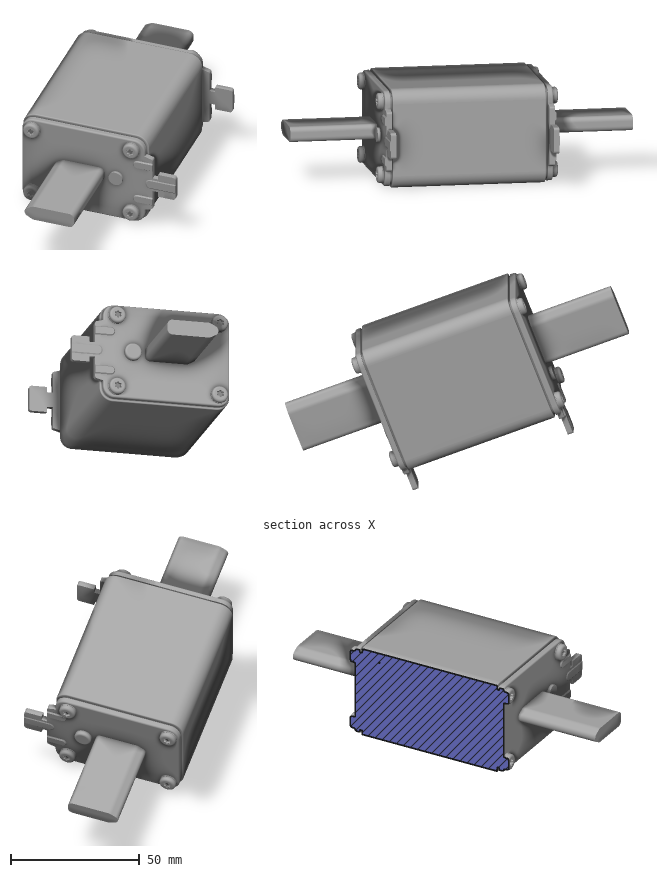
import cadquery as cq
import math

OVERALL_WIDTH = 64.0

BODY_WIDTH = 52.0
BODY_HEIGHT = 39.0
BODY_LENGTH = 60.5
BODY_CORNER_RADIUS = 5.3
BODY_EDGE_FILLET = 0.4

GASKET_INSET = 1.5
GASKET_THICKNESS = 0.8
PLATE_INSET = 0.7
PLATE_THICKNESS = 2.2
PLATE_EDGE_FILLET = 0.7
PLATE_INNER_Y = BODY_LENGTH / 2 + GASKET_THICKNESS
PLATE_OUTER_Y = PLATE_INNER_Y + PLATE_THICKNESS

BLADE_END_Y = 67.5
BLADE_THICKNESS = 6.1
BLADE_LEFT = -11.7
BLADE_RIGHT = 8.6
BLADE_CORNER_RADIUS = 2.0
NOSE_RADIUS = 2.0
NOSE_SLOPE = math.radians(28)
SHOULDER_RADIUS = 2.7

SCREW_CENTRE_X = -0.5
SCREW_SPACING_X = 41.0
SCREW_SPACING_Z = 29.0
WASHER_RADIUS = 3.4
WASHER_THICKNESS = 0.4
SCREW_HEAD_RADIUS = 3.2
SCREW_HEAD_HEIGHT = 1.9
SCREW_HEAD_FILLET = 1.0
SOCKET_CORE_RADIUS = 1.1
SOCKET_LOBES = 6
SOCKET_LOBE_RADIUS = 0.4
SOCKET_DEPTH = 1.2

TAB_ROOT_X = 23.0
TAB_ROOT_HALF_HEIGHT = 13.0
TAB_EDGE_X = 28.6
TAB_EDGE_HALF_HEIGHT = 11.5
TAB_CORNER_RADIUS = 0.8
TONGUE_NECK_HALF_HEIGHT = 3.0
TONGUE_HEAD_X = 30.9
TONGUE_HALF_HEIGHT = 5.1
TONGUE_END_X = OVERALL_WIDTH - BODY_WIDTH / 2
TONGUE_CORNER_RADIUS = 1.1

BEAD_DRAFT = 0.4
SIDE_BEAD_START_X = 20.7
SIDE_BEAD_HALF_WIDTH = 1.8
SIDE_BEAD_HEIGHT = 0.5
SIDE_BEAD_Z = 8.0
CENTRE_BEAD_START_X = 25.6
CENTRE_BEAD_HALF_WIDTH = 2.0
CENTRE_BEAD_HEIGHT = 0.3

PIN_X = 13.6
FRONT_PIN_RADIUS = 2.8
FRONT_PIN_HEIGHT = 1.2
REAR_PIN_RADIUS = 3.4
REAR_PIN_HEIGHT = 2.0
REAR_PIN_FILLET = 0.8


def end_plane(y):
    """Sketch plane at distance y from the origin: sketched in X and Z, extruding towards -Y."""
    return cq.Workplane("XZ", origin=(0, -y, 0))


def rounded_slab(inset, start_y, thickness):
    """Slab with the body outline shrunk by the inset, growing towards the front end."""
    slab = end_plane(start_y).rect(BODY_WIDTH - 2 * inset, BODY_HEIGHT - 2 * inset).extrude(thickness)
    return slab.edges("|Y").fillet(BODY_CORNER_RADIUS - inset)


def make_body():
    body = rounded_slab(0, -BODY_LENGTH / 2, BODY_LENGTH)
    return body.faces("<Y or >Y").edges().fillet(BODY_EDGE_FILLET)


def make_plate():
    plate = rounded_slab(PLATE_INSET, PLATE_INNER_Y, PLATE_THICKNESS)
    return plate.faces("<Y").edges().fillet(PLATE_EDGE_FILLET)


def round_right_corners(sheet, radius):
    return sheet.faces(">X").edges("|Y").fillet(radius)


def lug_rectangle(left_x, right_x, half_height):
    centre_x = (left_x + right_x) / 2
    sketch = end_plane(PLATE_INNER_Y).center(centre_x, 0)
    return sketch.rect(right_x - left_x, 2 * half_height).extrude(PLATE_THICKNESS)


def make_lug():
    tab_outline = [
        (TAB_ROOT_X, TAB_ROOT_HALF_HEIGHT),
        (TAB_EDGE_X, TAB_EDGE_HALF_HEIGHT),
        (TAB_EDGE_X, -TAB_EDGE_HALF_HEIGHT),
        (TAB_ROOT_X, -TAB_ROOT_HALF_HEIGHT),
    ]
    tab = end_plane(PLATE_INNER_Y).polyline(tab_outline).close().extrude(PLATE_THICKNESS)
    neck = lug_rectangle(TAB_ROOT_X, TONGUE_HEAD_X, TONGUE_NECK_HALF_HEIGHT)
    head = lug_rectangle(TONGUE_HEAD_X, TONGUE_END_X, TONGUE_HALF_HEIGHT)
    tab = round_right_corners(tab, TAB_CORNER_RADIUS)
    head = round_right_corners(head, TONGUE_CORNER_RADIUS)
    return tab.union(neck).union(head)


def make_bead(start_x, end_x, centre_z, half_width, height):
    """Raised bead running from its rounded left end to a square cut at end_x."""
    slot_length = 2 * (end_x - start_x)
    draft_angle = math.degrees(math.atan(BEAD_DRAFT / height))
    slot = (
        end_plane(PLATE_OUTER_Y)
        .center(end_x, centre_z)
        .slot2D(slot_length, 2 * half_width)
        .extrude(height, taper=draft_angle)
    )
    left_half = (
        end_plane(PLATE_OUTER_Y)
        .center(end_x - slot_length / 4, centre_z)
        .rect(slot_length / 2, 2 * half_width)
        .extrude(height)
    )
    return slot.intersect(left_half)


def make_blade():
    half_thickness = BLADE_THICKNESS / 2
    apex_x = BLADE_LEFT - NOSE_RADIUS * (1 / math.sin(NOSE_SLOPE) - 1)
    shoulder_x = apex_x + half_thickness / math.tan(NOSE_SLOPE)
    outline = [
        (apex_x, 0),
        (shoulder_x, half_thickness),
        (BLADE_RIGHT, half_thickness),
        (BLADE_RIGHT, -half_thickness),
        (shoulder_x, -half_thickness),
    ]
    blade = end_plane(PLATE_INNER_Y).polyline(outline).close().extrude(BLADE_END_Y - PLATE_INNER_Y)
    shoulders = cq.selectors.BoxSelector(
        (shoulder_x - SHOULDER_RADIUS, -BLADE_END_Y, -BLADE_THICKNESS),
        (shoulder_x + SHOULDER_RADIUS, -PLATE_INNER_Y, BLADE_THICKNESS),
    )
    blade = blade.edges("|Y").edges(shoulders).fillet(SHOULDER_RADIUS)
    blade = blade.edges("|Y and <X").fillet(NOSE_RADIUS)
    return blade.edges("|Y and >X").fillet(BLADE_CORNER_RADIUS)


def make_screw():
    """Washer and screw head on the plate face, centred on the Y axis, with a six-lobed socket."""
    washer_outer_y = PLATE_OUTER_Y + WASHER_THICKNESS
    washer = end_plane(PLATE_OUTER_Y).circle(WASHER_RADIUS).extrude(WASHER_THICKNESS)
    head = end_plane(washer_outer_y).circle(SCREW_HEAD_RADIUS).extrude(SCREW_HEAD_HEIGHT)
    head = head.faces("<Y").edges().fillet(SCREW_HEAD_FILLET)
    socket_floor = end_plane(washer_outer_y + SCREW_HEAD_HEIGHT - SOCKET_DEPTH)
    core = socket_floor.circle(SOCKET_CORE_RADIUS).extrude(SOCKET_DEPTH)
    lobes = (
        socket_floor.polarArray(SOCKET_CORE_RADIUS, 90, 360, SOCKET_LOBES)
        .circle(SOCKET_LOBE_RADIUS)
        .extrude(SOCKET_DEPTH)
    )
    return washer.union(head).cut(core).cut(lobes)


def make_front_pin():
    return end_plane(PLATE_OUTER_Y).center(PIN_X, 0).circle(FRONT_PIN_RADIUS).extrude(FRONT_PIN_HEIGHT)


def make_rear_pin():
    """Button built at the front end, ready to be mirrored to the rear."""
    button = end_plane(PLATE_OUTER_Y).center(PIN_X, 0).circle(REAR_PIN_RADIUS).extrude(REAR_PIN_HEIGHT)
    return button.faces("<Y").edges().fillet(REAR_PIN_FILLET)


def make_end():
    """Everything common to both ends, built at the front."""
    end = rounded_slab(GASKET_INSET, BODY_LENGTH / 2, GASKET_THICKNESS)
    end = end.union(make_plate()).union(make_lug()).union(make_blade())
    for side in (-1, 1):
        end = end.union(
            make_bead(
                SIDE_BEAD_START_X, TAB_EDGE_X, side * SIDE_BEAD_Z, SIDE_BEAD_HALF_WIDTH, SIDE_BEAD_HEIGHT
            )
        )
    end = end.union(
        make_bead(CENTRE_BEAD_START_X, TONGUE_END_X, 0, CENTRE_BEAD_HALF_WIDTH, CENTRE_BEAD_HEIGHT)
    )
    screw = make_screw()
    for side_x in (-1, 1):
        for side_z in (-1, 1):
            x = SCREW_CENTRE_X + side_x * SCREW_SPACING_X / 2
            z = side_z * SCREW_SPACING_Z / 2
            end = end.union(screw.translate((x, 0, z)))
    return end


front_end = make_end()
rear_end = front_end.mirror("XZ").union(make_rear_pin().mirror("XZ"))
result = make_body().union(front_end).union(make_front_pin()).union(rear_end)